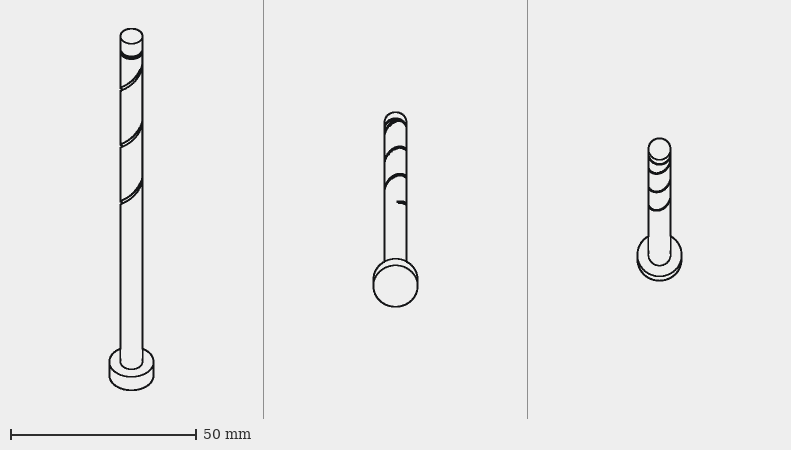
import cadquery as cq

total_length = 125.0
head_diameter = 12.0
head_thickness = 5.0
shaft_radius = 3.0

tip_length = 4.7
ring_groove_width = 1.0
ring_groove_depth = 0.5

helix_section_radius = 0.4
helix_turns = 3
helix_pitch = 20.9
helix_start_angle = 90.0

ring_groove_bottom = total_length - tip_length - ring_groove_width
helix_length = helix_pitch * helix_turns
helix_bottom = ring_groove_bottom - helix_length


def make_pin():
    """Cylindrical shaft standing on a larger round head."""
    head = cq.Workplane("XY").circle(head_diameter / 2).extrude(head_thickness)
    shaft = cq.Workplane("XY").circle(shaft_radius).extrude(total_length)
    return head.union(shaft)


def make_ring_cutter():
    """Flat ring that cuts the square ring groove below the tip."""
    return (
        cq.Workplane("XY")
        .workplane(offset=ring_groove_bottom)
        .circle(shaft_radius + ring_groove_depth)
        .circle(shaft_radius - ring_groove_depth)
        .extrude(ring_groove_width)
    )


def make_helix_cutter():
    """Round section swept along a helix on the shaft surface."""
    path = cq.Wire.makeHelix(helix_pitch, helix_length, shaft_radius)
    start_plane = cq.Plane(
        origin=path.startPoint(),
        xDir=(1, 0, 0),
        normal=path.tangentAt(0),
    )
    cutter = (
        cq.Workplane(start_plane)
        .circle(helix_section_radius)
        .sweep(cq.Workplane(obj=path), isFrenet=True)
    )
    turned = cutter.rotate((0, 0, 0), (0, 0, 1), helix_start_angle)
    return turned.translate((0, 0, helix_bottom))


result = make_pin().cut(make_ring_cutter()).cut(make_helix_cutter())